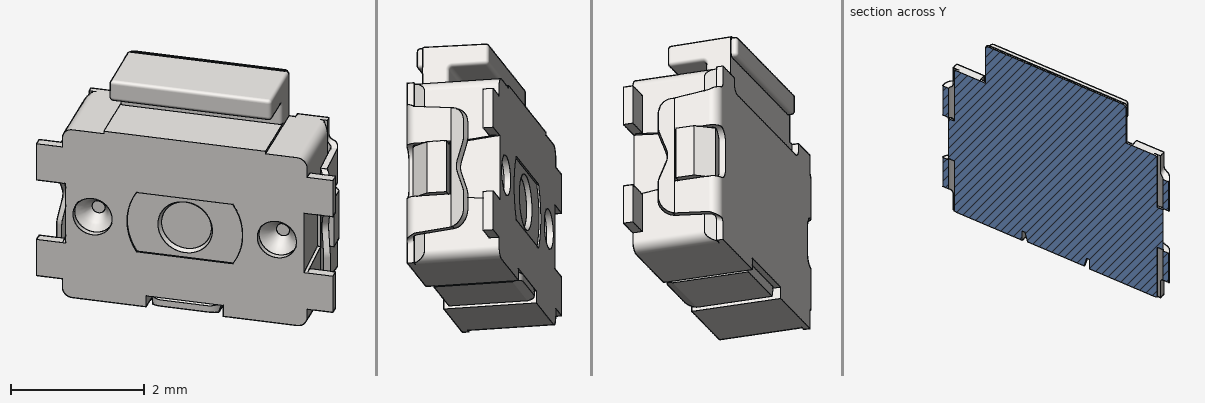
import cadquery as cq
import math


BODY_HALF_WIDTH = 1.9
BODY_HEIGHT = 2.81
BODY_DEPTH = 1.32
BODY_CORNER_RADIUS = 0.155
BACK_CHAMFER_X = 0.105
BACK_CHAMFER_Y = 0.175
MID_Z = 1.4

TERMINAL_HALF_SPAN = 2.3
TERMINAL_THICKNESS = 0.15
TERMINAL_HEIGHT = 0.605
TERMINAL_OFFSET = 0.8

POCKET_DEPTH = 0.05
POCKET_HALF_FRONT = 0.5
POCKET_HALF_BACK = 0.425

LATCH_X = 2.1
LATCH_HALF_HEIGHT = 0.4
LATCH_FRONT_Y = 0.765
LATCH_RAMP_Y = 1.06
LATCH_ROOT_X = 1.895

EMBLEM_RADIUS = 0.895
EMBLEM_HALF_HEIGHT = 0.495
EMBLEM_DEPTH = 0.028
DIMPLE_RADIUS = 0.435
DIMPLE_FLOOR_RADIUS = 0.385
DIMPLE_DEPTH = 0.1
PIT_X = 1.43
PIT_RADIUS = 0.305
PIT_FLOOR_RADIUS = 0.1
PIT_WALL_DEPTH = 0.1
PIT_THROAT_RADIUS = 0.185
PIT_THROAT_DEPTH = 0.202
PIT_DEPTH = 0.345

NOTCH_HALF_WIDTH = 0.6
NOTCH_HEIGHT = 0.185
LIP_ROOT_HALF = 0.55
LIP_EDGE_HALF = 0.505
LIP_FACE_HALF = 0.345
LIP_BOTTOM_Z = 0.015
LIP_PROUD = 0.02
LIP_TAPER_Y = 0.115
LIP_END_Y = 0.15
LIP_FACE_BOTTOM_Z = 0.05
LIP_FACE_TOP_Z = 0.155

SHEET = 0.1
COVER_HALF_WIDTH = 1.85
COVER_BACK_Y = BODY_DEPTH + SHEET
COVER_NOTCH_HALF = 1.355
COVER_NOTCH_DEPTH = 0.23
COVER_NOTCH_RADIUS = 0.125
ARM_OUTER_X = 2.02
ARM_INNER_X = ARM_OUTER_X - SHEET
ARM_BEND_RADIUS = 0.155
ARM_END_Y = 0.685
ARM_HALF_ROOT = 1.06
ARM_HALF_BEND = 0.99
ARM_HALF_END = 0.93
ARM_ROOT_RADIUS = 0.065
WINDOW_HALF_HEIGHT = 0.415
WINDOW_FRONT_Y = 0.72
WINDOW_ROOT_X = 1.745
WINDOW_CORNER_RADIUS = 0.185

FLARE_LENGTH = 0.26
FLARE_ANGLE = 26
FLARE_CORNER_RADIUS = 0.255
FLARE_V_HALF = 0.4
FLARE_V_DEPTH = 0.155
FLARE_V_RADIUS = 0.23

PLUNGER_HALF_WIDTH = 1.255
PLUNGER_BASE_Z = 2.85
PLUNGER_TOP_Z = 3.55
PLUNGER_TOP_DROP = 0.015
STEM_FRONT_Y = 0.92
HEAD_FRONT_Y = 0.31
HEAD_BOTTOM_Z = 3.205
PLUNGER_EDGE_RADIUS = 0.055
BACK_RIB_HALF_WIDTH = 1.23
BACK_RIB_BOTTOM_Z = 3.22
BACK_RIB_TOP_Z = 3.54


def box(x0, x1, y0, y1, z0, z1):
    """Box between opposite corners."""
    return cq.Workplane("XY").box(x1 - x0, y1 - y0, z1 - z0, centered=False).translate((x0, y0, z0))


def centered_box(half_x, y0, y1, z0, z1):
    return box(-half_x, half_x, y0, y1, z0, z1)


def mirrored(right_side):
    """Right-hand feature together with its left-hand copy."""
    return right_side.union(right_side.mirror("YZ"))


def upright_prism(points, z0, z1):
    """XY polygon extruded from z0 to z1."""
    return cq.Workplane("XY").polyline(points).close().extrude(z1 - z0).translate((0, 0, z0))


def side_prism(points, x0, x1):
    """YZ polygon extruded from x0 to x1."""
    return cq.Workplane("YZ").polyline(points).close().extrude(x1 - x0).translate((x0, 0, 0))


def turned_pit(x, half_profile):
    """Recess turned about a Y-parallel axis at mid-height; the profile is radius against depth."""
    return half_profile.revolve(360, (0, 0), (0, 1)).translate((x, 0, MID_Z))


def housing():
    body = centered_box(BODY_HALF_WIDTH, 0, BODY_DEPTH, 0, BODY_HEIGHT)
    body = body.edges("|Y").fillet(BODY_CORNER_RADIUS)
    chamfer = upright_prism(
        [
            (BODY_HALF_WIDTH - BACK_CHAMFER_X, BODY_DEPTH),
            (BODY_HALF_WIDTH, BODY_DEPTH - BACK_CHAMFER_Y),
            (TERMINAL_HALF_SPAN, BODY_DEPTH - BACK_CHAMFER_Y),
            (TERMINAL_HALF_SPAN, BODY_DEPTH),
        ],
        0,
        BODY_HEIGHT,
    )
    pocket = side_prism(
        [
            (0, MID_Z - POCKET_HALF_FRONT),
            (LATCH_FRONT_Y, MID_Z - POCKET_HALF_BACK),
            (LATCH_FRONT_Y, MID_Z + POCKET_HALF_BACK),
            (0, MID_Z + POCKET_HALF_FRONT),
        ],
        BODY_HALF_WIDTH - POCKET_DEPTH,
        BODY_HALF_WIDTH,
    )
    body = body.cut(mirrored(chamfer)).cut(mirrored(pocket))
    return body.union(centered_box(PLUNGER_HALF_WIDTH, 0, BODY_DEPTH, MID_Z, PLUNGER_BASE_Z))


def terminals():
    bars = cq.Workplane("XY")
    for z in (MID_Z - TERMINAL_OFFSET, MID_Z + TERMINAL_OFFSET):
        half = TERMINAL_HEIGHT / 2
        bars = bars.union(centered_box(TERMINAL_HALF_SPAN, 0, TERMINAL_THICKNESS, z - half, z + half))
    return bars


def latches():
    root_x = BODY_HALF_WIDTH - BACK_CHAMFER_X
    latch = upright_prism(
        [
            (root_x, LATCH_FRONT_Y),
            (LATCH_X, LATCH_FRONT_Y),
            (LATCH_X, LATCH_RAMP_Y),
            (LATCH_ROOT_X, BODY_DEPTH),
            (root_x, BODY_DEPTH),
        ],
        MID_Z - LATCH_HALF_HEIGHT,
        MID_Z + LATCH_HALF_HEIGHT,
    )
    return mirrored(latch)


def face_recesses():
    """Emblem panel, centre dimple and the two funnel-shaped pits in the mounting face."""
    emblem = turned_pit(0, cq.Workplane("XY").rect(EMBLEM_RADIUS, EMBLEM_DEPTH, centered=False))
    emblem = emblem.intersect(
        centered_box(EMBLEM_RADIUS, 0, EMBLEM_DEPTH, MID_Z - EMBLEM_HALF_HEIGHT, MID_Z + EMBLEM_HALF_HEIGHT)
    )
    dimple_corners = [(0, 0), (DIMPLE_RADIUS, 0), (DIMPLE_FLOOR_RADIUS, DIMPLE_DEPTH), (0, DIMPLE_DEPTH)]
    dimple = turned_pit(0, cq.Workplane("XY").polyline(dimple_corners).close())
    pit = turned_pit(
        PIT_X,
        cq.Workplane("XY")
        .lineTo(PIT_RADIUS, 0)
        .lineTo(PIT_RADIUS, PIT_WALL_DEPTH)
        .threePointArc((PIT_THROAT_RADIUS, PIT_THROAT_DEPTH), (PIT_FLOOR_RADIUS, PIT_DEPTH))
        .lineTo(0, PIT_DEPTH)
        .close(),
    )
    return emblem.union(dimple).union(mirrored(pit))


def bottom_notch():
    """Notch through the full depth of housing and cover."""
    return centered_box(NOTCH_HALF_WIDTH, 0, COVER_BACK_Y, 0, NOTCH_HEIGHT)


def bottom_lip():
    """Lip hanging in the bottom notch: dovetail front outline, rounded ends and a wedge-shaped nose."""
    dovetail = (
        cq.Workplane("XZ", origin=(0, -LIP_PROUD, 0))
        .moveTo(-LIP_ROOT_HALF, NOTCH_HEIGHT)
        .lineTo(-LIP_EDGE_HALF, LIP_BOTTOM_Z)
        .lineTo(LIP_EDGE_HALF, LIP_BOTTOM_Z)
        .lineTo(LIP_ROOT_HALF, NOTCH_HEIGHT)
        .close()
        .extrude(-(LIP_PROUD + BODY_DEPTH))
    )
    rounded_ends = (
        cq.Workplane("XY")
        .moveTo(-LIP_ROOT_HALF, BODY_DEPTH)
        .lineTo(-LIP_ROOT_HALF, LIP_END_Y)
        .threePointArc((-LIP_EDGE_HALF, LIP_END_Y / 3), (-LIP_FACE_HALF, -LIP_PROUD))
        .lineTo(LIP_FACE_HALF, -LIP_PROUD)
        .threePointArc((LIP_EDGE_HALF, LIP_END_Y / 3), (LIP_ROOT_HALF, LIP_END_Y))
        .lineTo(LIP_ROOT_HALF, BODY_DEPTH)
        .close()
        .extrude(NOTCH_HEIGHT)
    )
    nose = side_prism(
        [
            (-LIP_PROUD, LIP_FACE_BOTTOM_Z),
            (LIP_TAPER_Y, LIP_BOTTOM_Z),
            (BODY_DEPTH, LIP_BOTTOM_Z),
            (BODY_DEPTH, NOTCH_HEIGHT),
            (LIP_TAPER_Y, NOTCH_HEIGHT),
            (-LIP_PROUD, LIP_FACE_TOP_Z),
        ],
        -LIP_ROOT_HALF,
        LIP_ROOT_HALF,
    )
    return dovetail.intersect(rounded_ends).intersect(nose)


def cover_plate():
    plate = centered_box(COVER_HALF_WIDTH, BODY_DEPTH, COVER_BACK_Y, 0, BODY_HEIGHT)
    notch = centered_box(
        COVER_NOTCH_HALF,
        BODY_DEPTH,
        COVER_BACK_Y,
        BODY_HEIGHT - COVER_NOTCH_DEPTH,
        BODY_HEIGHT,
    )
    return plate.cut(notch.edges("|Y and <Z").fillet(COVER_NOTCH_RADIUS))


def arm_strip():
    """Bent strip of the right-hand arm, tapering toward its end."""
    bend_x = ARM_OUTER_X - ARM_BEND_RADIUS
    bend_y = COVER_BACK_Y - ARM_BEND_RADIUS
    inner_radius = ARM_BEND_RADIUS - SHEET
    diagonal = math.sqrt(0.5)
    section = (
        cq.Workplane("XY")
        .moveTo(COVER_HALF_WIDTH, COVER_BACK_Y)
        .lineTo(bend_x, COVER_BACK_Y)
        .threePointArc(
            (bend_x + ARM_BEND_RADIUS * diagonal, bend_y + ARM_BEND_RADIUS * diagonal),
            (ARM_OUTER_X, bend_y),
        )
        .lineTo(ARM_OUTER_X, ARM_END_Y)
        .lineTo(ARM_INNER_X, ARM_END_Y)
        .lineTo(ARM_INNER_X, bend_y)
        .threePointArc(
            (bend_x + inner_radius * diagonal, bend_y + inner_radius * diagonal),
            (bend_x, BODY_DEPTH),
        )
        .lineTo(COVER_HALF_WIDTH, BODY_DEPTH)
        .close()
        .extrude(BODY_HEIGHT)
    )
    half_outline = [(COVER_BACK_Y, ARM_HALF_ROOT), (bend_y, ARM_HALF_BEND), (ARM_END_Y, ARM_HALF_END)]
    outline = [(y, MID_Z + half) for y, half in half_outline]
    outline += [(y, MID_Z - half) for y, half in reversed(half_outline)]
    return section.intersect(side_prism(outline, COVER_HALF_WIDTH, ARM_OUTER_X))


def latch_window():
    """Opening in the right-hand arm, reaching round the bend into the cover plate."""
    window = box(
        WINDOW_ROOT_X,
        TERMINAL_HALF_SPAN,
        WINDOW_FRONT_Y,
        COVER_BACK_Y,
        MID_Z - WINDOW_HALF_HEIGHT,
        MID_Z + WINDOW_HALF_HEIGHT,
    )
    return window.edges("|Y and <X").fillet(WINDOW_CORNER_RADIUS)


def arm_flare():
    """Flared end of the right-hand arm: rounded corners and a V-shaped dip in its free edge."""
    tip_y = ARM_END_Y - FLARE_LENGTH
    dip_y = tip_y + FLARE_V_DEPTH
    flare = side_prism(
        [
            (ARM_END_Y, MID_Z - ARM_HALF_END),
            (tip_y, MID_Z - ARM_HALF_END),
            (tip_y, MID_Z - FLARE_V_HALF),
            (dip_y, MID_Z),
            (tip_y, MID_Z + FLARE_V_HALF),
            (tip_y, MID_Z + ARM_HALF_END),
            (ARM_END_Y, MID_Z + ARM_HALF_END),
        ],
        ARM_INNER_X,
        ARM_OUTER_X,
    )
    x_mid = (ARM_INNER_X + ARM_OUTER_X) / 2
    for z_sign in (-1, 1):
        corner = (x_mid, tip_y, MID_Z + z_sign * ARM_HALF_END)
        flare = flare.edges(cq.NearestToPointSelector(corner)).fillet(FLARE_CORNER_RADIUS)
        v_shoulder = (x_mid, tip_y, MID_Z + z_sign * FLARE_V_HALF)
        flare = flare.edges(cq.NearestToPointSelector(v_shoulder)).fillet(FLARE_V_RADIUS)
    flare = flare.edges(cq.NearestToPointSelector((x_mid, dip_y, MID_Z))).fillet(FLARE_V_RADIUS)
    hinge = (ARM_INNER_X, ARM_END_Y)
    return flare.rotate((*hinge, 0), (*hinge, 1), FLARE_ANGLE)


def plunger():
    """Stem with an overhanging head, all free edges rounded."""
    profile = [
        (BODY_DEPTH, PLUNGER_BASE_Z),
        (BODY_DEPTH, PLUNGER_TOP_Z),
        (HEAD_FRONT_Y, PLUNGER_TOP_Z - PLUNGER_TOP_DROP),
        (HEAD_FRONT_Y, HEAD_BOTTOM_Z),
        (STEM_FRONT_Y, HEAD_BOTTOM_Z),
        (STEM_FRONT_Y, PLUNGER_BASE_Z),
    ]
    body = side_prism(profile, -PLUNGER_HALF_WIDTH, PLUNGER_HALF_WIDTH)
    inner_corner = (0, STEM_FRONT_Y, HEAD_BOTTOM_Z)
    body = body.edges(cq.NearestToPointSelector(inner_corner)).fillet(PLUNGER_EDGE_RADIUS)
    free_edges = cq.selectors.BoxSelector(
        (-2 * PLUNGER_HALF_WIDTH, 0, PLUNGER_BASE_Z + PLUNGER_EDGE_RADIUS),
        (2 * PLUNGER_HALF_WIDTH, BODY_DEPTH - PLUNGER_EDGE_RADIUS, 2 * PLUNGER_TOP_Z),
    )
    body = body.edges(free_edges).fillet(PLUNGER_EDGE_RADIUS)
    rib = centered_box(BACK_RIB_HALF_WIDTH, BODY_DEPTH, COVER_BACK_Y, BACK_RIB_BOTTOM_Z, BACK_RIB_TOP_Z)
    rib = rib.edges("|Y or >Y").fillet(PLUNGER_EDGE_RADIUS)
    return body.union(rib)


def cover():
    """Back plate with both arms, filleted where the arms leave the plate."""
    sheet = cover_plate().union(mirrored(arm_strip()))
    for x in (-COVER_HALF_WIDTH, COVER_HALF_WIDTH):
        for z in (MID_Z - ARM_HALF_ROOT, MID_Z + ARM_HALF_ROOT):
            root = (x, (BODY_DEPTH + COVER_BACK_Y) / 2, z)
            sheet = sheet.edges(cq.NearestToPointSelector(root)).fillet(ARM_ROOT_RADIUS)
    return sheet.union(mirrored(arm_flare())).cut(mirrored(latch_window())).cut(bottom_notch())


case = housing().union(terminals()).cut(face_recesses()).cut(bottom_notch()).union(bottom_lip())
result = case.union(cover()).union(latches()).union(plunger())